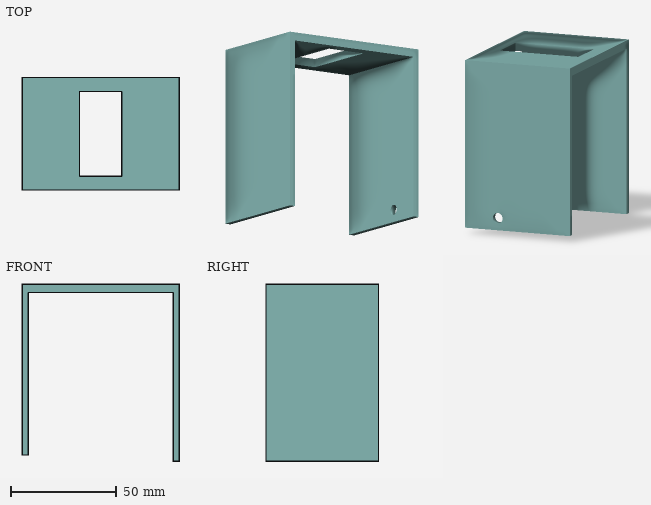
import cadquery as cq

width = 74.6
depth = 53.6
height = 84.2

wall = 2.95
roof = 3.95
left_leg_shortening = 2.95

window_width = 19.95
window_depth = 40.25
window_left_margin = 27.3
window_front_margin = 6.65

hole_diameter = 5.0
hole_from_back = 16.7
hole_height = 8.8

body = cq.Workplane("XY").box(width, depth, height, centered=False)

inner_space = cq.Workplane("XY").box(
    width - 2 * wall, depth, height - roof, centered=False
).translate((wall, 0, 0))
body = body.cut(inner_space)

leg_trim = cq.Workplane("XY").box(wall, depth, left_leg_shortening, centered=False)
body = body.cut(leg_trim)

window = cq.Workplane("XY").box(
    window_width, window_depth, roof, centered=False
).translate((window_left_margin, window_front_margin, height - roof))
body = body.cut(window)

hole = (
    cq.Workplane("YZ")
    .center(depth - hole_from_back, hole_height)
    .circle(hole_diameter / 2)
    .extrude(wall)
)
result = body.cut(hole)